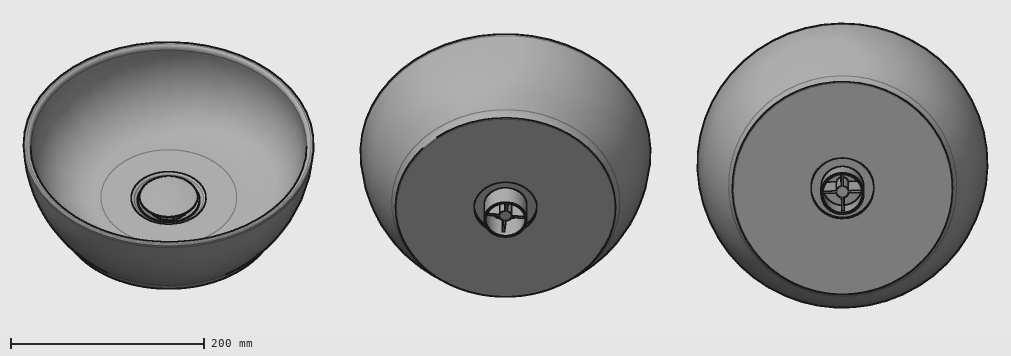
import cadquery as cq
import math

BASIN_HEIGHT = 99.8
RIM_RADIUS = 150.0
RIM_BAND_HEIGHT = 3.5
RIM_OUTER_ROUND = 1.2
RIM_INNER_ROUND = 4.5
WALL_THICKNESS = 7.8
WALL_MIDDLE = (141.8, 54.0)
WALL_END = (117.8, 10.0)
FOOT_MIDDLE = (114.8, 5.5)
FOOT_RADIUS = 113.5
FOOT_EDGE_ROUND = 1.0

FLOOR_RADIUS = 70.2
FLOOR_HEIGHT = 22.0
BOWL_MIDDLE = (129.0, 51.0)
FUNNEL_RADIUS = 38.7
FUNNEL_TOP = 20.7
FUNNEL_LIP_MIDDLE = (37.2, 20.0)
FUNNEL_LIP_END = (35.7, 19.2)
FUNNEL_BOTTOM = 17.0
DRAIN_HOLE_RADIUS = 32.5

CUP_TOP = FUNNEL_BOTTOM
CUP_LIP_WIDTH = 1.0
CUP_BOTTOM = 4.5
PIPE_RADIUS = 22.2
PIPE_BOTTOM = -21.0
BORE_RADIUS = 20.5
BORE_TOP = 8.5

CAP_RADIUS = 30.0
CAP_EDGE_HEIGHT = 23.0
CAP_EDGE_THICKNESS = 1.2
CAP_DOME_RISE = 5.0
STEM_RADIUS = 6.3
STEM_BOTTOM = -14.5
VANE_THICKNESS = 2.5
VANE_ANGLES = (45, 135)


def revolve_about_z(profile):
    return profile.revolve(360, (0, 0, 0), (0, 1, 0))


def make_basin():
    bowl_top = RIM_RADIUS - WALL_THICKNESS
    profile = (
        cq.Workplane("XZ")
        .moveTo(DRAIN_HOLE_RADIUS, 0)
        .lineTo(FOOT_RADIUS, 0)
        .threePointArc(FOOT_MIDDLE, WALL_END)
        .threePointArc(WALL_MIDDLE, (RIM_RADIUS, BASIN_HEIGHT - RIM_BAND_HEIGHT))
        .lineTo(RIM_RADIUS, BASIN_HEIGHT)
        .lineTo(bowl_top, BASIN_HEIGHT)
        .threePointArc(BOWL_MIDDLE, (FLOOR_RADIUS, FLOOR_HEIGHT))
        .lineTo(FUNNEL_RADIUS, FUNNEL_TOP)
        .threePointArc(FUNNEL_LIP_MIDDLE, FUNNEL_LIP_END)
        .lineTo(DRAIN_HOLE_RADIUS, FUNNEL_BOTTOM)
        .close()
    )
    basin = revolve_about_z(profile)
    basin = basin.faces(">Z").edges(cq.selectors.RadiusNthSelector(0)).fillet(RIM_INNER_ROUND)
    basin = basin.faces(">Z").edges(cq.selectors.RadiusNthSelector(-1)).fillet(RIM_OUTER_ROUND)
    return basin.faces("<Z").edges(cq.selectors.RadiusNthSelector(-1)).fillet(FOOT_EDGE_ROUND)


def make_drain():
    profile = (
        cq.Workplane("XZ")
        .moveTo(BORE_RADIUS, PIPE_BOTTOM)
        .lineTo(PIPE_RADIUS, PIPE_BOTTOM)
        .lineTo(PIPE_RADIUS, CUP_BOTTOM)
        .lineTo(DRAIN_HOLE_RADIUS, CUP_BOTTOM)
        .lineTo(DRAIN_HOLE_RADIUS, CUP_TOP)
        .lineTo(DRAIN_HOLE_RADIUS - CUP_LIP_WIDTH, CUP_TOP)
        .lineTo(BORE_RADIUS, BORE_TOP)
        .close()
    )
    return revolve_about_z(profile)


def make_vanes(vane_top):
    vane_height = vane_top - STEM_BOTTOM
    base = cq.Workplane("XY", origin=(0, 0, STEM_BOTTOM))
    plates = cq.Workplane("XY")
    for angle in VANE_ANGLES:
        plate = base.rect(2 * PIPE_RADIUS, VANE_THICKNESS).extrude(vane_height)
        plates = plates.add(plate.rotate((0, 0, 0), (0, 0, 1), angle))
    return plates.combine().intersect(base.circle(BORE_RADIUS).extrude(vane_height))


def make_cap():
    disc_bottom = CAP_EDGE_HEIGHT - CAP_EDGE_THICKNESS
    dome_top = CAP_EDGE_HEIGHT + CAP_DOME_RISE
    dome_radius = (CAP_RADIUS**2 + CAP_DOME_RISE**2) / (2 * CAP_DOME_RISE)
    dome_centre = dome_top - dome_radius
    dome_middle_radius = CAP_RADIUS / 2
    dome_middle_height = dome_centre + math.sqrt(dome_radius**2 - dome_middle_radius**2)
    profile = (
        cq.Workplane("XZ")
        .moveTo(0, STEM_BOTTOM)
        .lineTo(STEM_RADIUS, STEM_BOTTOM)
        .lineTo(STEM_RADIUS, disc_bottom)
        .lineTo(CAP_RADIUS, disc_bottom)
        .lineTo(CAP_RADIUS, CAP_EDGE_HEIGHT)
        .threePointArc((dome_middle_radius, dome_middle_height), (0, dome_top))
        .close()
    )
    return revolve_about_z(profile).union(make_vanes(disc_bottom))


basin = make_basin()
drain = make_drain()
cap = make_cap()

result = cq.Compound.makeCompound([*basin.solids().vals(), *drain.solids().vals(), *cap.solids().vals()])